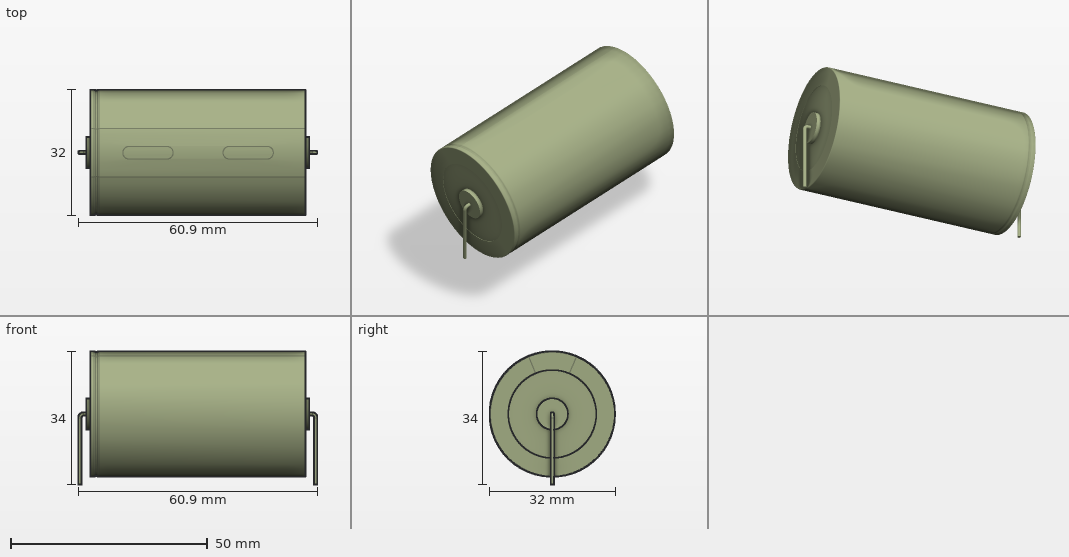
import cadquery as cq
import math


body_length = 54.8
body_radius = 16.0
rim_fillet = 0.2
body_end = body_length / 2

groove_center = -body_end + 1.55
groove_half_width = 0.6
groove_depth = 0.2

cap_radius = 11.2
cap_recess = 0.1
disk_diameter = 8.0
disk_projection = 1.0

lead_diameter = 0.9
lead_spacing = 60.0
lead_bottom = -18.0
lead_bend_radius = lead_diameter

stripe_half_angle = math.radians(22.5)
minus_length = 12.8
minus_width = 3.2
minus_offset = 12.75
minus_depth = 1.0


def make_body():
    """Revolved sleeve with its crimp groove, rounded rims and sunken end caps."""
    groove_bottom = body_radius - groove_depth
    lip = groove_half_width
    inflection = groove_half_width / 2
    inflection_radius = body_radius - groove_depth / 2
    profile = (
        cq.Workplane("XY")
        .moveTo(-body_end, 0)
        .lineTo(-body_end, body_radius)
        .lineTo(groove_center - lip, body_radius)
        .tangentArcPoint((groove_center - inflection, inflection_radius), relative=False)
        .threePointArc(
            (groove_center, groove_bottom),
            (groove_center + inflection, inflection_radius),
        )
        .tangentArcPoint((groove_center + lip, body_radius), relative=False)
        .lineTo(body_end, body_radius)
        .lineTo(body_end, 0)
        .close()
    )
    body = profile.revolve(360, (0, 0, 0), (1, 0, 0))
    body = body.faces("<X or >X").edges().fillet(rim_fillet)
    for start in (-body_end, body_end - cap_recess):
        recess = cq.Workplane("YZ", origin=(start, 0, 0)).circle(cap_radius).extrude(cap_recess)
        body = body.cut(recess)
    return body


def make_stripe_wedge():
    """Wedge around the top of the sleeve, from the cap radius to beyond the surface."""
    outer_height = body_radius + groove_depth
    outer_half_width = outer_height * math.tan(stripe_half_angle)
    wedge = (
        cq.Workplane("YZ", origin=(-body_end, 0, 0))
        .polyline([(0, 0), (outer_half_width, outer_height), (-outer_half_width, outer_height)])
        .close()
        .extrude(body_length)
    )
    core = cq.Workplane("YZ", origin=(-body_end, 0, 0)).circle(cap_radius).extrude(body_length)
    return wedge.cut(core)


def make_minus_signs():
    """Two upright slot-shaped prisms that reach through the top surface."""
    return (
        cq.Workplane("XY", origin=(0, 0, body_radius - minus_depth))
        .pushPoints([(-minus_offset, 0), (minus_offset, 0)])
        .slot2D(minus_length, minus_width)
        .extrude(2 * minus_depth)
    )


def imprint(body, region):
    """Outline a region on the body surface and leave the shape of the body unchanged."""
    inside = body.intersect(region, clean=False)
    outside = body.cut(region, clean=False)
    return outside.union(inside, clean=False)


def make_disk_and_lead(side):
    """Seal disk and bent wire at one end; side is -1 for -X and +1 for +X."""
    lead_x = side * lead_spacing / 2
    bend_x = lead_x - side * lead_bend_radius
    bend_offset = lead_bend_radius * math.sqrt(0.5)
    cap_face = side * (body_end - cap_recess)

    disk = (
        cq.Workplane("YZ", origin=(cap_face, 0, 0))
        .circle(disk_diameter / 2)
        .extrude(side * (disk_projection + cap_recess))
    )
    path = (
        cq.Workplane("XZ")
        .moveTo(cap_face, 0)
        .lineTo(bend_x, 0)
        .threePointArc(
            (bend_x + side * bend_offset, bend_offset - lead_bend_radius),
            (lead_x, -lead_bend_radius),
        )
        .lineTo(lead_x, lead_bottom)
    )
    lead = cq.Workplane("YZ", origin=(cap_face, 0, 0)).circle(lead_diameter / 2).sweep(path)
    return disk.union(lead)


result = make_body()
result = imprint(result, make_stripe_wedge())
result = imprint(result, make_minus_signs())
for end_side in (-1, 1):
    result = result.union(make_disk_and_lead(end_side), clean=False)